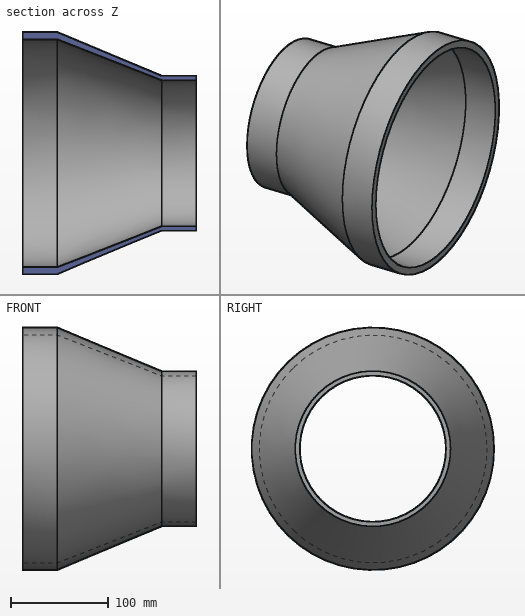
import cadquery as cq

total_length = 179.0
collar_length = 35.8
large_outer_diameter = 250.0
large_inner_diameter = 234.5
small_outer_diameter = 160.0
small_inner_diameter = 150.2


def reducer_body(large_diameter, small_diameter):
    """Solid of revolution: large cylinder, cone, small cylinder along +X."""
    large_radius = large_diameter / 2
    small_radius = small_diameter / 2
    cone_end = total_length - collar_length
    return (
        cq.Workplane("XY")
        .moveTo(0, 0)
        .lineTo(0, large_radius)
        .lineTo(collar_length, large_radius)
        .lineTo(cone_end, small_radius)
        .lineTo(total_length, small_radius)
        .lineTo(total_length, 0)
        .close()
        .revolve(360, (0, 0, 0), (1, 0, 0))
    )


outer_body = reducer_body(large_outer_diameter, small_outer_diameter)
bore = reducer_body(large_inner_diameter, small_inner_diameter)
result = outer_body.cut(bore)